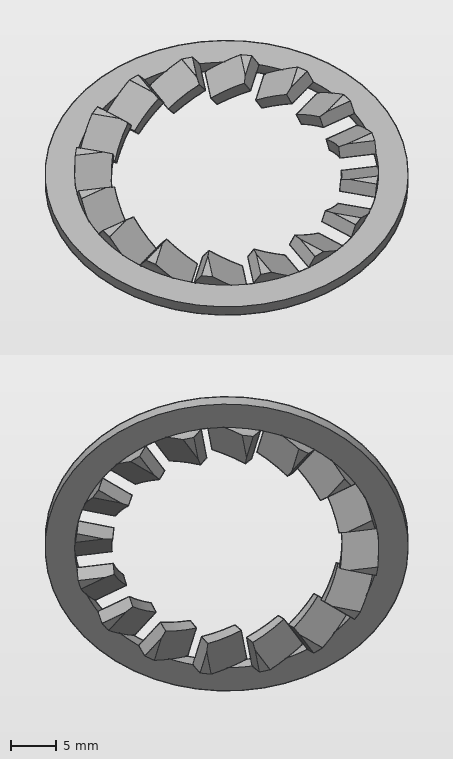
import cadquery as cq
import math

outer_diameter = 40.0
ring_inner_diameter = 33.5
tooth_tip_diameter = 25.4
ring_thickness = 1.35
overall_height = 3.9

tooth_count = 16
tooth_gap = 0.55
flank_angle = 34.0
end_angle = 57.0

tooth_pitch = 360.0 / tooth_count


def annulus(outer, inner, height):
    """Flat ring centred on the XY plane."""
    base = cq.Workplane("XY").workplane(offset=-height / 2)
    return base.circle(outer / 2).circle(inner / 2).extrude(height)


def tooth_wedge():
    """Wedge bounded by an end face and a broad face that meet in a line parallel to +X.

    The line lies beside the gap on the X axis, level with the top of the ring.
    The end face climbs away from it and the broad face falls away from it.
    """
    reach = outer_diameter / 2
    edge_y = tooth_gap / 2
    edge_z = ring_thickness / 2
    end = math.radians(end_angle)
    flank = math.radians(flank_angle)
    return (
        cq.Workplane("YZ")
        .moveTo(edge_y, edge_z)
        .lineTo(edge_y + reach * math.cos(end), edge_z + reach * math.sin(end))
        .lineTo(edge_y + reach * math.cos(flank), edge_z - reach * math.sin(flank))
        .close()
        .extrude(outer_diameter / 2)
    )


def tooth():
    """One tooth: a wedge crossed with its half-turn about the tooth's radial centreline."""
    middle = math.radians(tooth_pitch / 2)
    radial_point = (math.cos(middle), math.sin(middle), 0)
    wedge = tooth_wedge()
    turned_wedge = wedge.rotate((0, 0, 0), radial_point, 180)
    tooth_band = annulus(ring_inner_diameter, tooth_tip_diameter, overall_height)
    return wedge.intersect(turned_wedge).intersect(tooth_band)


result = annulus(outer_diameter, ring_inner_diameter, ring_thickness)
single_tooth = tooth()
for index in range(tooth_count):
    result = result.union(single_tooth.rotate((0, 0, 0), (0, 0, 1), index * tooth_pitch))